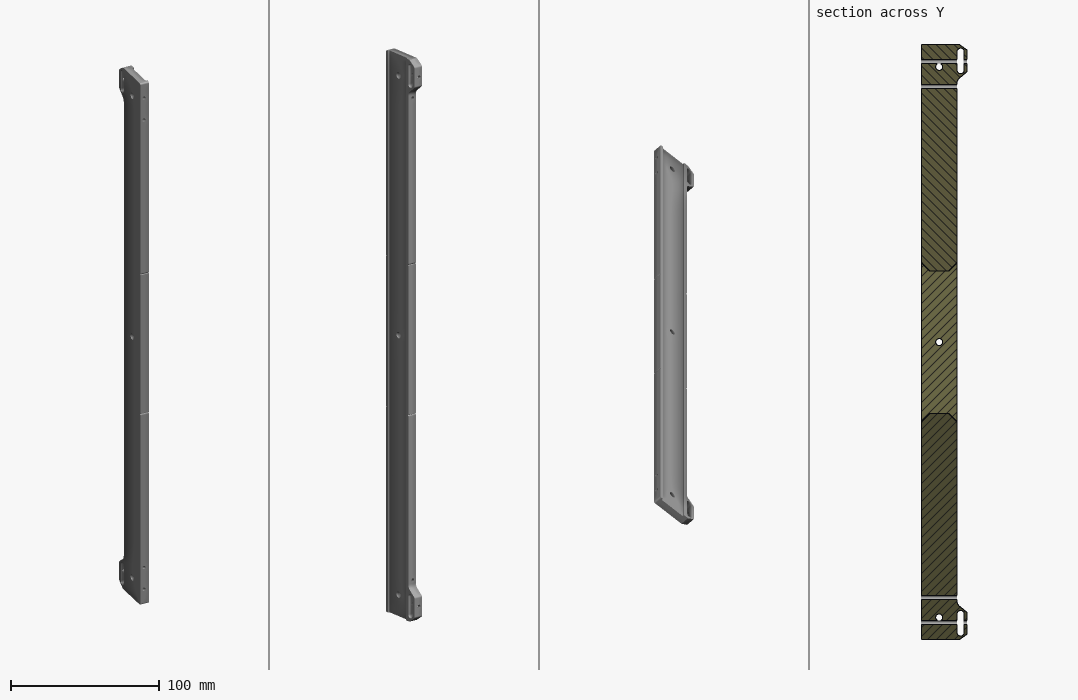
import cadquery as cq

length = 400.0
thickness = 6.5
overall_width = 31.0
handle_reach = 7.0
plate_width = overall_width - handle_reach
plate_left = -plate_width / 2
plate_right = plate_width / 2
half_length = length / 2
corner_radius = 1.0

channel_depth = 1.0
channel_wall = 2.5
channel_width = plate_width - 2 * channel_wall

joint_edge_z = 54.0
joint_slope = 6.0
joint_tip_z = joint_edge_z - joint_slope
joint_end_radius = 1.0
joint_middle_radius = 0.5

screw_diameter = 4.5
screw_end_distance = 15.0

cross_diameter = 2.5
cross_end_distances = (11.5, 28.5)
cross_y = -channel_depth / 2

handle_left = plate_left - handle_reach
handle_bar = 2.5
handle_top_run = 5.5
handle_bar_top = 4.0
handle_bar_bottom = 18.5
handle_root_bottom = 24.0
handle_outer_radius = 1.5
handle_root_radius = 4.0
window_top = 3.0
window_bottom = 19.5
window_corner_radius = 2.0


def extrude_outline(points):
    """Prism through the full thickness from an outline of (x, z) points."""
    return (
        cq.Workplane("XZ", origin=(0, thickness / 2, 0))
        .polyline(points)
        .close()
        .extrude(thickness)
    )


def cut_channel(piece):
    channel = cq.Workplane("XY").box(channel_width, 2 * channel_depth, length)
    return piece.cut(channel.translate((0, thickness / 2, 0)))


def cut_screw_hole(piece, z):
    hole = (
        cq.Workplane("XZ", origin=(0, thickness / 2, z))
        .circle(screw_diameter / 2)
        .extrude(thickness)
    )
    return piece.cut(hole)


def cut_cross_holes(piece):
    for distance in cross_end_distances:
        hole = (
            cq.Workplane("YZ", origin=(handle_left, cross_y, half_length - distance))
            .circle(cross_diameter / 2)
            .extrude(overall_width)
        )
        piece = piece.cut(hole)
    return piece


def fillet_at(piece, point, radius):
    """Round the through-thickness edge nearest to an (x, z) point."""
    x, z = point
    nearest = cq.selectors.NearestToPointSelector((x, 0, z))
    return piece.edges("|Y").edges(nearest).fillet(radius)


def cut_handle_window(piece):
    window_left = handle_left + handle_bar
    window = (
        cq.Workplane("XY")
        .box(plate_left - window_left, thickness, window_bottom - window_top)
        .edges("|Y")
        .fillet(window_corner_radius)
        .translate((
            (window_left + plate_left) / 2,
            0,
            half_length - (window_top + window_bottom) / 2,
        ))
    )
    return piece.cut(window)


def make_top_end_piece():
    """End plate with the handle loop on its -X edge."""
    joint_left = (plate_left, joint_edge_z)
    joint_right = (plate_right, joint_edge_z)
    top_right = (plate_right, half_length)
    bar_top = (handle_left, half_length - handle_bar_top)
    bar_bottom = (handle_left, half_length - handle_bar_bottom)
    root_bottom = (plate_left, half_length - handle_root_bottom)
    piece = extrude_outline([
        joint_left,
        (plate_left + joint_slope, joint_tip_z),
        (plate_right - joint_slope, joint_tip_z),
        joint_right,
        top_right,
        (handle_left + handle_top_run, half_length),
        bar_top,
        bar_bottom,
        root_bottom,
    ])
    for point, radius in (
        (joint_left, joint_end_radius),
        (joint_right, joint_end_radius),
        (top_right, corner_radius),
        (bar_top, handle_outer_radius),
        (bar_bottom, handle_outer_radius),
        (root_bottom, handle_root_radius),
    ):
        piece = fillet_at(piece, point, radius)
    piece = cut_channel(cut_handle_window(piece))
    piece = cut_screw_hole(piece, half_length - screw_end_distance)
    return cut_cross_holes(piece)


def make_middle_piece():
    outline = [
        (plate_left, joint_edge_z),
        (plate_left + joint_slope, joint_tip_z),
        (plate_right - joint_slope, joint_tip_z),
        (plate_right, joint_edge_z),
        (plate_right, -joint_edge_z),
        (plate_right - joint_slope, -joint_tip_z),
        (plate_left + joint_slope, -joint_tip_z),
        (plate_left, -joint_edge_z),
    ]
    piece = extrude_outline(outline)
    for x in (plate_left, plate_right):
        for z in (joint_edge_z, -joint_edge_z):
            piece = fillet_at(piece, (x, z), joint_middle_radius)
    return cut_screw_hole(cut_channel(piece), 0)


middle_piece = make_middle_piece()
top_end_piece = make_top_end_piece()
end_pieces = [top_end_piece, top_end_piece.mirror("XY")]

result = cq.Compound.makeCompound([
    middle_piece.val(),
    *[piece.val() for piece in end_pieces],
])